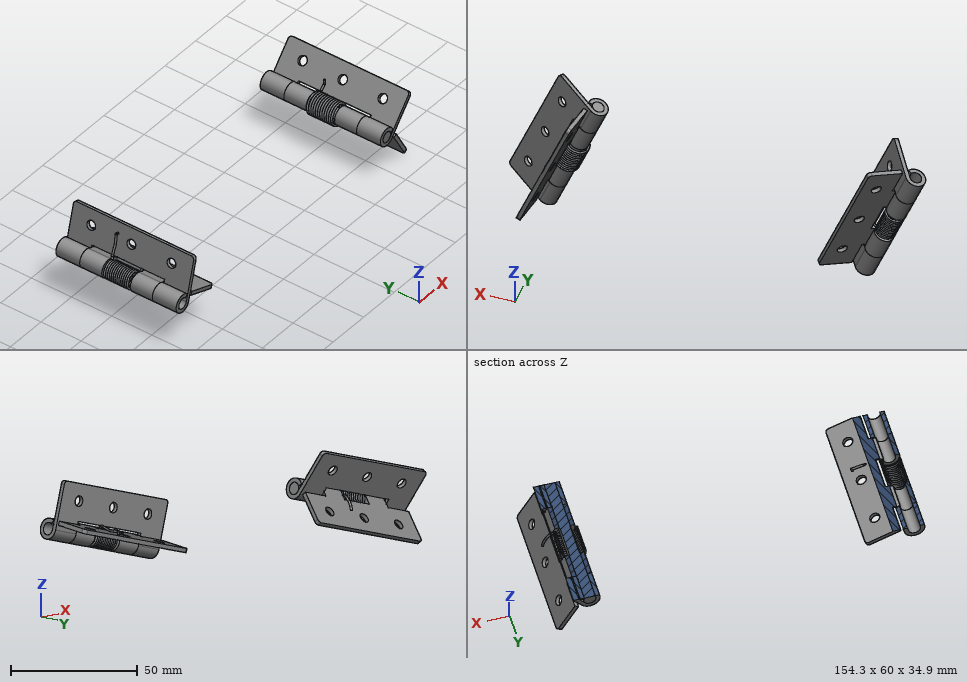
import cadquery as cq
import math


hinge_length = 60.0
bore_radius = 2.5
leaf_thickness = 1.75
knuckle_radius = bore_radius + leaf_thickness
leaf_reach = 20.0
corner_radius = 1.5
hole_diameter = 4.2
hole_reach = 13.0
hole_pitch = 20.0
roll_sweep = 302.0

knuckle_split = 18.1
spring_gap = 7.1
leaf_setback = 5.0

wire_radius = 0.45
left_coil_radius = 3.75
right_coil_radius = 4.72
left_coil_start = 6.3
left_coil_end = -5.9
left_upper_leg_y = 7.05
right_coil_start = 6.4
right_coil_end = -6.6

left_axis = (0.0, 0.0)
left_upper_angle = 75.0
left_lower_angle = -20.0
right_axis = (133.73, -0.07)
right_upper_angle = 49.0
right_lower_angle = -60.5

OUTER_KNUCKLES = [(-hinge_length / 2, -knuckle_split), (knuckle_split, hinge_length / 2)]
INNER_KNUCKLES = [(-knuckle_split, -spring_gap), (spring_gap, knuckle_split)]


def slab(u_start, u_end, v_start, v_end, y_start, y_end):
    """Box from two opposite corners; u runs along the leaf (X), v across its thickness (Z)."""
    return cq.Workplane("XY").box(
        u_end - u_start, y_end - y_start, v_end - v_start, centered=False
    ).translate((u_start, y_start, v_start))


def rolled_knuckle(y_start, y_end):
    """Leaf edge rolled round the bore, starting on top and turning away from the leaf."""
    def on_roll(radius, turned):
        angle = math.radians(90 + turned)
        return radius * math.cos(angle), radius * math.sin(angle)

    half = roll_sweep / 2
    return (
        cq.Workplane("XZ", origin=(0, y_end, 0))
        .moveTo(*on_roll(knuckle_radius, 0))
        .threePointArc(on_roll(knuckle_radius, half), on_roll(knuckle_radius, roll_sweep))
        .lineTo(*on_roll(bore_radius, roll_sweep))
        .threePointArc(on_roll(bore_radius, half), on_roll(bore_radius, 0))
        .close()
        .extrude(y_end - y_start)
    )


def flat_leaf(knuckle_spans):
    """Leaf lying along +X with its outer face tangent to the top of its knuckles."""
    half_length = hinge_length / 2
    leaf = slab(leaf_setback, leaf_reach, bore_radius, knuckle_radius, -half_length, half_length)
    leaf = leaf.edges("|Z and >X").fillet(corner_radius)
    holes = (
        cq.Workplane("XY")
        .pushPoints([(hole_reach, row * hole_pitch) for row in (-1, 0, 1)])
        .circle(hole_diameter / 2)
        .extrude(2 * knuckle_radius)
    )
    leaf = leaf.cut(holes)
    for y_start, y_end in knuckle_spans:
        neck = slab(0, leaf_setback, bore_radius, knuckle_radius, y_start, y_end)
        leaf = leaf.union(neck).union(rolled_knuckle(y_start, y_end))
    return leaf


def place(body, axis):
    return body.translate((axis[0], 0, axis[1]))


def upper_leaf(axis, angle):
    """Leaf with the outer knuckles, turned over so that its outer face is the lower one."""
    leaf = flat_leaf(OUTER_KNUCKLES).rotate((0, 0, 0), (1, 0, 0), 180)
    return place(leaf.rotate((0, 0, 0), (0, 1, 0), -angle), axis)


def lower_leaf(axis, angle):
    """Leaf with the inner knuckles, its outer face being the upper one."""
    leaf = flat_leaf(INNER_KNUCKLES)
    return place(leaf.rotate((0, 0, 0), (0, 1, 0), -angle), axis)


def leg_points(profile, face_offset, leaf_angle, y):
    """Leg corners from (distance along the leaf, height above the leaf face) pairs."""
    angle = math.radians(leaf_angle)
    points = []
    for along, height in profile:
        across = face_offset + height
        x = along * math.cos(angle) - across * math.sin(angle)
        z = along * math.sin(angle) + across * math.cos(angle)
        points.append(cq.Vector(x, y, z))
    return points


def wire_leg(points):
    """Round wire along straight stretches with rounded bends."""
    return (
        cq.Workplane(cq.Plane(points[0], normal=points[1] - points[0]))
        .circle(wire_radius)
        .sweep(cq.Workplane("XY").polyline([point.toTuple() for point in points]), transition="round")
    )


def coil_end(radius, polar_angle, y):
    angle = math.radians(polar_angle)
    return cq.Vector(radius * math.cos(angle), y, radius * math.sin(angle))


def spring(axis, coil_radius, turns, start_angle, end_angle, y_start, y_end, upper_leg, lower_leg):
    """Coil running from the upper leg at y_start to the lower leg at y_end.

    The coil makes the given whole turns plus the step from start_angle to end_angle.
    """
    sweep_turns = turns + (end_angle - start_angle) / 360
    length = y_start - y_end
    path = cq.Wire.makeHelix(length / sweep_turns, length, coil_radius)
    coil = (
        cq.Workplane("XZ", origin=(coil_radius, 0, 0))
        .circle(wire_radius)
        .sweep(cq.Workplane(path), isFrenet=True)
        .rotate((0, 0, 0), (1, 0, 0), 90)
        .rotate((0, 0, 0), (0, 1, 0), -start_angle)
        .translate((0, y_start, 0))
    )
    first = wire_leg([coil_end(coil_radius, start_angle, y_start)] + upper_leg)
    last = wire_leg([coil_end(coil_radius, end_angle, y_end)] + lower_leg)
    return place(coil.union(first).union(last), axis)


def pin(axis):
    body = cq.Workplane("XZ", origin=(0, hinge_length / 2, 0)).circle(bore_radius).extrude(hinge_length)
    return place(body, axis)


left_hooked_leg = [(5.0, 1.2), (10.2, 0.5), (15.0, 1.1), (15.0, 0.02)]
left_upper_leaf = upper_leaf(left_axis, left_upper_angle)
left_lower_leaf = lower_leaf(left_axis, left_lower_angle)
left_spring = spring(
    left_axis, left_coil_radius, turns=13, start_angle=66.0, end_angle=21.0,
    y_start=left_coil_start, y_end=left_coil_end,
    upper_leg=leg_points(left_hooked_leg, -bore_radius, left_upper_angle, left_upper_leg_y),
    lower_leg=leg_points(left_hooked_leg, knuckle_radius, left_lower_angle, left_coil_end),
)

right_upper_leg = [(5.0, 1.05), (8.5, 0.6), (9.9, 2.0)]
right_lower_leg = [(3.1, 0.6), (6.6, 1.2), (8.9, 1.0), (10.6, 0.5)]
right_upper_leaf = upper_leaf(right_axis, right_upper_angle)
right_lower_leaf = lower_leaf(right_axis, right_lower_angle)
right_pin = pin(right_axis)
right_spring = spring(
    right_axis, right_coil_radius, turns=12, start_angle=40.0, end_angle=-5.0,
    y_start=right_coil_start, y_end=right_coil_end,
    upper_leg=leg_points(right_upper_leg, -bore_radius, right_upper_angle, right_coil_start),
    lower_leg=leg_points(right_lower_leg, knuckle_radius, right_lower_angle, right_coil_end),
)

result = cq.Compound.makeCompound([
    left_upper_leaf.solids().val(),
    left_lower_leaf.solids().val(),
    left_spring.solids().val(),
    right_upper_leaf.solids().val(),
    right_lower_leaf.solids().val(),
    right_spring.solids().val(),
    right_pin.solids().val(),
])